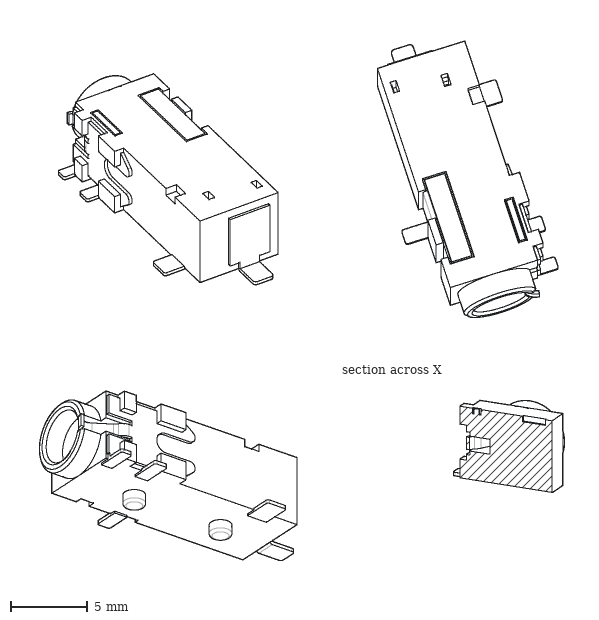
import cadquery as cq
import math


body_length = 15.5
body_width = 6.0
body_height = 5.0
side_y = body_width / 2
axis_z = body_height / 2

collar_length = 1.52
collar_radius = body_height / 2
bore_radius = 1.8
collar_chamfer = 0.2

sheet = 0.23
cover_front_x = 0.08
cover_margin = 0.33
cover_tip_x = 7.87
cover_tip_radius = 0.42
fork_slot_x = 3.95
fork_slot_width = 1.44
cover_window_width = 1.55
window_end_x = 1.95
spring_slot_width = 1.0
spring_slot_floor_y = -1.54
spring_width = 0.88
spring_tip_x = -1.7
spring_tip_y = -2.6
spring_radius = 0.85
spring_root_radius = 0.61
spring_slope = math.radians(30)
spring_root_slope = math.radians(57)

block_spans = [(0.98, 1.95), (fork_slot_x, 6.0)]
block_end_x = block_spans[-1][1]
block_depth = 0.7
upper_block_height = 1.27
lower_block_height = 1.32

lead_reach = 1.5
lead_thickness = 0.25
lead_bottom_z = -0.13
lead_top_z = lead_bottom_z + lead_thickness
lead_corner = 0.15
near_lead_spans = [(0.17, 1.02), (2.88, 3.9), (12.0, 13.54)]
near_lead_inset = 0.73
far_lead_span = (4.78, 5.78)
far_lead_inset = 0.46

rear_plate_thickness = 0.2
rear_plate_y = (-0.8, 2.27)
rear_plate_z = (0.61, 4.38)
rear_tab_y = (-0.04, 1.45)
rear_tab_end_x = 17.5
rear_bend_radius = 0.15
rear_tab_corner = 0.23

peg_diameter = 1.5
peg_length = 0.8
peg_fillet = 0.2
peg_xs = [4.5, 11.48]

groove_depth = 0.38
far_groove_x = (1.5, 7.53)
far_groove_y = (0.86, 2.5)
far_groove_gap = 0.12
near_groove_x = (1.5, 4.53)
near_groove_y = (-2.78, -2.19)
near_groove_gap = 0.1
side_notch_x = (2.0, 3.01)
side_notch_floor_y = far_groove_y[1]
leaf_notch_x = (4.76, 6.75)
leaf_thickness = 0.3
leaf_rounding = 0.29
leaf_inner_y = far_groove_y[1] - far_groove_gap
far_slot_x = (13.6, 14.35)
far_slot_y = (2.1, 2.5)
far_slot_step_y = 2.38
near_slot_x = (12.98, 13.77)
near_slot_y = (-1.25, -0.8)
near_slot_step_x = 13.5
edge_notch_x = (11.25, 12.38)
edge_notch_width = 0.8
edge_notch_depth = 0.54
slot_depth = 0.96
slot_step_depth = 1.92


def box(x_span, y_span, z_span):
    """Axis-aligned block given by its (low, high) limits."""
    return cq.Workplane("XY").box(
        x_span[1] - x_span[0], y_span[1] - y_span[0], z_span[1] - z_span[0], centered=False
    ).translate((x_span[0], y_span[0], z_span[0]))


def centred_span(width):
    """Z limits of a feature of the given width centred on the plug axis."""
    return (axis_z - width / 2, axis_z + width / 2)


def make_collar():
    outer = (
        cq.Workplane("YZ").center(0, axis_z).circle(collar_radius).extrude(-collar_length)
        .faces("<X").chamfer(collar_chamfer)
    )
    bore = cq.Workplane("YZ").center(0, axis_z).circle(bore_radius).extrude(-collar_length)
    return outer.cut(bore).faces("<X").edges(cq.selectors.RadiusNthSelector(0)).chamfer(collar_chamfer)


def frame_groove(x_span, y_span, gap):
    """Narrow rectangular groove in the top face around an island."""
    z_span = (body_height - groove_depth, body_height)
    island_x = (x_span[0] + gap, x_span[1] - gap)
    island_y = (y_span[0] + gap, y_span[1] - gap)
    return box(x_span, y_span, z_span).cut(box(island_x, island_y, z_span))


def stepped_slot(x_span, y_span, deep_x, deep_y):
    """Slot in the top face whose floor drops further over part of its area."""
    shallow = box(x_span, y_span, (body_height - slot_depth, body_height))
    deep = box(deep_x, deep_y, (body_height - slot_step_depth, body_height))
    return shallow.union(deep)


def make_housing():
    housing = box((0, body_length), (-side_y, side_y), (0, body_height)).union(make_collar())
    for span in block_spans:
        block_y = (-side_y - block_depth, -side_y)
        housing = housing.union(box(span, block_y, (0, lower_block_height)))
        housing = housing.union(box(span, block_y, (body_height - upper_block_height, body_height)))
    housing = housing.cut(box(side_notch_x, (side_notch_floor_y, side_y), (0, body_height)))
    housing = housing.cut(box(leaf_notch_x, (leaf_inner_y, side_y), (0, body_height)))
    housing = housing.cut(frame_groove(far_groove_x, far_groove_y, far_groove_gap))
    housing = housing.cut(frame_groove(near_groove_x, near_groove_y, near_groove_gap))
    housing = housing.cut(box(
        edge_notch_x, (-side_y, -side_y + edge_notch_width), (body_height - edge_notch_depth, body_height)
    ))
    housing = housing.cut(stepped_slot(
        far_slot_x, far_slot_y, far_slot_x, (far_slot_y[0], far_slot_step_y)
    ))
    housing = housing.cut(stepped_slot(
        near_slot_x, near_slot_y, (near_slot_x[0], near_slot_step_x), near_slot_y
    ))
    spring_slot = box(
        (-collar_length, window_end_x), (-side_y, spring_slot_floor_y), centred_span(spring_slot_width)
    )
    return housing.cut(spring_slot)


def make_pegs():
    return (
        cq.Workplane("XY").pushPoints([(x, 0) for x in peg_xs]).circle(peg_diameter / 2)
        .extrude(-peg_length).faces("<Z").edges().fillet(peg_fillet)
    )


def make_cover():
    """Sheet on the -Y side, ending in two rounded fork tips."""
    low_z, high_z = cover_margin, body_height - cover_margin
    slot_low, slot_high = centred_span(fork_slot_width)
    slot_radius = fork_slot_width / 2
    plate = (
        cq.Workplane("XZ", origin=(0, -side_y, 0))
        .moveTo(cover_front_x, low_z)
        .lineTo(block_end_x, low_z)
        .lineTo(cover_tip_x, slot_low)
        .lineTo(fork_slot_x + slot_radius, slot_low)
        .threePointArc((fork_slot_x, axis_z), (fork_slot_x + slot_radius, slot_high))
        .lineTo(cover_tip_x, slot_high)
        .lineTo(block_end_x, high_z)
        .lineTo(cover_front_x, high_z)
        .close()
        .extrude(sheet)
        .edges("|Y and >X").fillet(cover_tip_radius)
    )
    cover_y = (-side_y - sheet, -side_y)
    plate = plate.cut(box((cover_front_x, window_end_x), cover_y, centred_span(cover_window_width)))
    return plate.union(box(near_lead_spans[0], cover_y, (lead_bottom_z, cover_margin)))


def make_spring():
    """Strip running off the cover, through the slot and over a rounded crest to the plug opening."""
    tip_angle = -math.pi / 2
    crest_x = spring_tip_x + spring_radius + sheet / 2
    cover_middle_y = -side_y - sheet / 2
    bend_drop = spring_radius * (math.cos(spring_slope) - math.cos(spring_root_slope))
    root_drop = spring_root_radius * (1 - math.cos(spring_root_slope))
    crest_end_y = spring_tip_y + spring_radius * math.cos(spring_slope)
    run_drop = crest_end_y - cover_middle_y - bend_drop - root_drop
    run_length = run_drop / math.sin(spring_slope)

    crest = (crest_x, spring_tip_y)
    bend = (
        crest_x + run_length * math.cos(spring_slope),
        spring_tip_y - run_length * math.sin(spring_slope),
    )
    root = (
        bend[0] + (spring_radius + spring_root_radius) * math.sin(spring_root_slope),
        cover_middle_y + spring_root_radius,
    )

    def on_arc(centre, radius, slope):
        """Point of an arc where the strip falls at the given slope; a negative radius bends back."""
        return (centre[0] + radius * math.sin(slope), centre[1] + radius * math.cos(slope))

    def face_arcs(offset):
        """Start, middle and end of each arc of one strip face, from the tip to the cover."""
        outer = spring_radius + offset
        inner = offset - spring_root_radius
        stretches = [
            (crest, outer, tip_angle, spring_slope),
            (bend, outer, spring_slope, spring_root_slope),
            (root, inner, spring_root_slope, 0),
        ]
        return [
            [on_arc(centre, radius, slope) for slope in (start, (start + end) / 2, end)]
            for centre, radius, start, end in stretches
        ]

    joint_x = window_end_x + sheet
    inner_face = face_arcs(sheet / 2)
    outer_face = face_arcs(-sheet / 2)
    outline = cq.Workplane("XY", origin=(0, 0, axis_z - spring_width / 2)).moveTo(*inner_face[0][0])
    for index, (start, middle, end) in enumerate(inner_face):
        if index == 1:
            outline = outline.lineTo(*start)
        outline = outline.threePointArc(middle, end)
    outline = outline.lineTo(joint_x, -side_y).lineTo(joint_x, -side_y - sheet)
    outline = outline.lineTo(*outer_face[-1][2])
    for index, (start, middle, end) in reversed(list(enumerate(outer_face))):
        if index == 0:
            outline = outline.lineTo(*end)
        outline = outline.threePointArc(middle, start)
    return outline.close().extrude(spring_width)


def make_side_leads():
    z_span = (lead_bottom_z, lead_top_z)
    near_y = (-side_y - lead_reach, -side_y + near_lead_inset)
    far_y = (side_y - far_lead_inset, side_y + lead_reach)
    leads = box(far_lead_span, far_y, z_span).edges("|Z and >Y").fillet(lead_corner)
    for span in near_lead_spans:
        leads = leads.union(box(span, near_y, z_span).edges("|Z and <Y").fillet(lead_corner))
    return leads


def make_far_leaf():
    """Contact leaf standing in the larger side notch, rounded over at its top."""
    leaf_y = (leaf_inner_y, leaf_inner_y + leaf_thickness)
    leaf = box(leaf_notch_x, leaf_y, (0, body_height - groove_depth))
    return leaf.edges(">Z and >Y").fillet(leaf_rounding)


def make_rear_contact():
    plate_x = (body_length, body_length + rear_plate_thickness)
    plate = box(plate_x, rear_plate_y, rear_plate_z)
    stem = box(plate_x, rear_tab_y, (lead_bottom_z, rear_plate_z[0]))
    tab = box((body_length, rear_tab_end_x), rear_tab_y, (lead_bottom_z, lead_top_z))
    tab = tab.edges("|Z and >X").fillet(rear_tab_corner)
    foot = stem.union(tab).edges("|Y and <X and <Z").fillet(rear_bend_radius)
    return plate.union(foot)


result = (
    make_housing()
    .union(make_pegs())
    .union(make_cover())
    .union(make_spring())
    .union(make_side_leads())
    .union(make_far_leaf())
    .union(make_rear_contact())
)